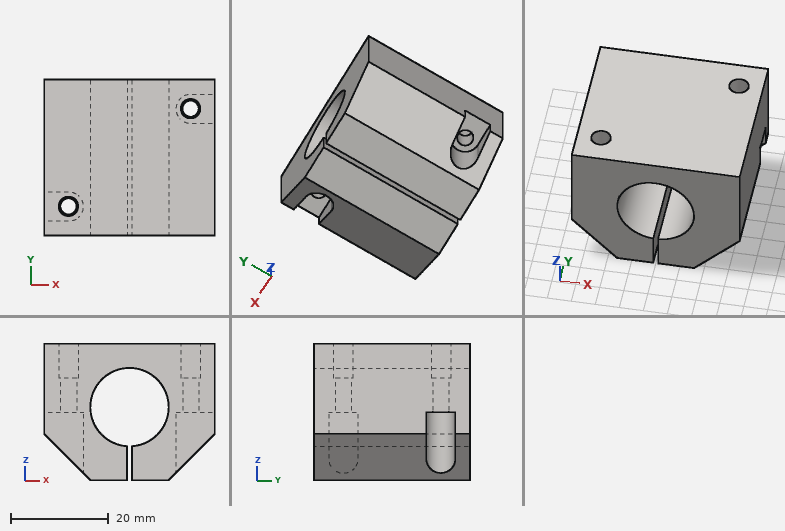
import cadquery as cq

width = 35.0
length = 32.0
height = 28.0
bottom_chamfer = 9.5

bore_diameter = 16.0
bore_height = 15.0
slit_width = 1.0

hole_offset_x = 12.5
hole_offset_y = 10.0
hole_diameter = 3.3
upper_hole_diameter = 4.0
upper_hole_depth = 7.0

recess_width = 6.0
recess_ceiling = 14.0


def make_body():
    block = cq.Workplane("XY").box(width, length, height, centered=(True, True, False))
    return block.edges("|Y and <Z").chamfer(bottom_chamfer)


def make_bore_and_slit():
    bore = (
        cq.Workplane("XZ")
        .center(0, bore_height)
        .circle(bore_diameter / 2)
        .extrude(length / 2, both=True)
    )
    slit = cq.Workplane("XY").box(slit_width, length, bore_height, centered=(True, True, False))
    return bore.union(slit)


def make_mounting_cut(side):
    """Stepped hole and U-shaped recess; side is -1 for the -X, -Y corner and +1 for the +X, +Y corner."""
    hole_x = side * hole_offset_x
    hole_y = side * hole_offset_y
    axis = cq.Workplane("XY").center(hole_x, hole_y)

    hole = axis.circle(hole_diameter / 2).extrude(height)
    upper_hole = (
        axis.workplane(offset=height - upper_hole_depth)
        .circle(upper_hole_diameter / 2)
        .extrude(upper_hole_depth)
    )

    recess_end = axis.circle(recess_width / 2).extrude(recess_ceiling)
    opening_length = width / 2 - hole_offset_x
    recess_opening = (
        axis.center(side * opening_length / 2, 0)
        .rect(opening_length, recess_width)
        .extrude(recess_ceiling)
    )
    return hole.union(upper_hole).union(recess_end).union(recess_opening)


result = make_body().cut(make_bore_and_slit())
for corner_side in (-1, 1):
    result = result.cut(make_mounting_cut(corner_side))